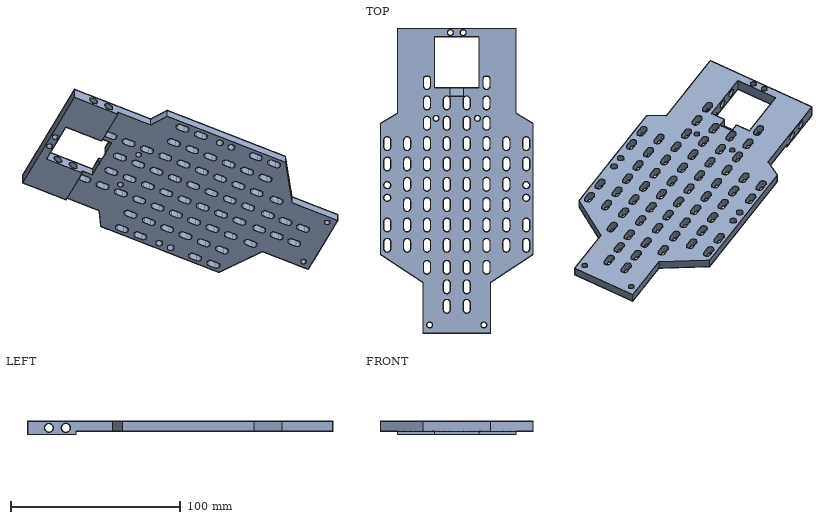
import cadquery as cq

LENGTH = 180.0
MIDDLE_WIDTH = 90.0
HEAD_WIDTH = 70.0
TAIL_WIDTH = 40.0
HEAD_END_Y = LENGTH / 2
TAIL_END_Y = -LENGTH / 2
HEAD_LENGTH = 50.0
HEAD_TAPER_LENGTH = 6.0
TAIL_LENGTH = 30.0
TAIL_TAPER_LENGTH = 16.5

TOTAL_HEIGHT = 8.0
PLATE_THICKNESS = 6.0
PLATE_BOTTOM_Z = TOTAL_HEIGHT - PLATE_THICKNESS
PAD_LENGTH = 28.5

WINDOW_WIDTH = 26.0
WINDOW_LENGTH = 30.0
WINDOW_FRONT_Y = HEAD_END_Y - 5.0
WINDOW_REAR_Y = WINDOW_FRONT_Y - WINDOW_LENGTH
NOTCH_WIDTH = 8.2
NOTCH_FLOOR_LENGTH = 5.0
NOTCH_WALL_HEIGHT = 2.0
NOTCH_WALL_LEAN = 0.3

SLOT_WIDTH = 4.0
SLOT_LENGTH = 8.0
LENGTHWISE_ANGLE = 90
COLUMN_COUNT = 8
EDGE_MARGIN = 4.0
OUTER_COLUMN = MIDDLE_WIDTH / 2 - EDGE_MARGIN
COLUMN_PITCH = 2 * OUTER_COLUMN / (COLUMN_COUNT - 1)
INNER_COLUMN = COLUMN_PITCH / 2
SECOND_COLUMN = INNER_COLUMN + COLUMN_PITCH
THIRD_COLUMN = SECOND_COLUMN + COLUMN_PITCH
ROW_PITCH = 12.0
FIRST_ROW_Y = 58.0
TAIL_FIRST_ROW_Y = -51.0
TAIL_ROW_PITCH = 11.5

MAIN_ROWS = [
    (SECOND_COLUMN,),
    (INNER_COLUMN, SECOND_COLUMN),
    (INNER_COLUMN, SECOND_COLUMN),
    (INNER_COLUMN, SECOND_COLUMN, THIRD_COLUMN, OUTER_COLUMN),
    (INNER_COLUMN, SECOND_COLUMN, THIRD_COLUMN, OUTER_COLUMN),
    (INNER_COLUMN, SECOND_COLUMN, THIRD_COLUMN),
    (INNER_COLUMN, SECOND_COLUMN, THIRD_COLUMN),
    (INNER_COLUMN, SECOND_COLUMN, THIRD_COLUMN, OUTER_COLUMN),
    (INNER_COLUMN, SECOND_COLUMN, THIRD_COLUMN, OUTER_COLUMN),
]
TAIL_ROWS = [
    (INNER_COLUMN, SECOND_COLUMN),
    (INNER_COLUMN,),
    (INNER_COLUMN,),
]

HEAD_HOLE_DIAMETER = 3.4
HEAD_HOLE_X = 3.75
HEAD_HOLE_Y = HEAD_END_Y - 2.5
SMALL_HOLE_DIAMETER = 3.3
MIDDLE_HOLE_X = 12.2
MIDDLE_HOLE_Y = 36.9
TAIL_HOLE_X = 16.0
TAIL_HOLE_Y = TAIL_END_Y + 5.0
EDGE_HOLE_DIAMETER = 4.0
EDGE_HOLE_YS = (-2.5, -10.0)

CROSS_HOLE_Z = TOTAL_HEIGHT / 2
FRONT_CROSS_HOLE_DIAMETER = 5.0
FRONT_CROSS_HOLE_Y = HEAD_END_Y - 12.5
REAR_CROSS_HOLE_DIAMETER = 5.2
REAR_CROSS_HOLE_Y = HEAD_END_Y - 22.5


def make_plate():
    """Flat plate with a wide middle tapering to the head and to the tail."""
    head_base_y = HEAD_END_Y - HEAD_LENGTH
    tail_base_y = TAIL_END_Y + TAIL_LENGTH
    right_side = [
        (TAIL_WIDTH / 2, TAIL_END_Y),
        (TAIL_WIDTH / 2, tail_base_y),
        (MIDDLE_WIDTH / 2, tail_base_y + TAIL_TAPER_LENGTH),
        (MIDDLE_WIDTH / 2, head_base_y - HEAD_TAPER_LENGTH),
        (HEAD_WIDTH / 2, head_base_y),
        (HEAD_WIDTH / 2, HEAD_END_Y),
    ]
    left_side = [(-x, y) for x, y in reversed(right_side)]
    return (
        cq.Workplane("XY", origin=(0, 0, PLATE_BOTTOM_Z))
        .polyline(right_side + left_side)
        .close()
        .extrude(PLATE_THICKNESS)
    )


def make_pad():
    """Full-height block that thickens the end of the head downwards."""
    return (
        cq.Workplane("XY")
        .center(0, HEAD_END_Y - PAD_LENGTH / 2)
        .rect(HEAD_WIDTH, PAD_LENGTH)
        .extrude(TOTAL_HEIGHT)
    )


def make_window():
    """Rectangular opening through the head."""
    return (
        cq.Workplane("XY")
        .center(0, WINDOW_FRONT_Y - WINDOW_LENGTH / 2)
        .rect(WINDOW_WIDTH, WINDOW_LENGTH)
        .extrude(TOTAL_HEIGHT)
    )


def make_notch():
    """Notch with a short, slightly leaning rear wall and a floor falling to the plate bottom."""
    floor_top_y = WINDOW_REAR_Y - NOTCH_FLOOR_LENGTH
    return (
        cq.Workplane("YZ")
        .moveTo(floor_top_y, TOTAL_HEIGHT - NOTCH_WALL_HEIGHT)
        .lineTo(floor_top_y - NOTCH_WALL_LEAN, TOTAL_HEIGHT)
        .lineTo(WINDOW_REAR_Y, TOTAL_HEIGHT)
        .lineTo(WINDOW_REAR_Y, PLATE_BOTTOM_Z)
        .close()
        .extrude(NOTCH_WIDTH / 2, both=True)
    )


def mirrored_points(columns, y):
    """Points at +x and -x for every column in one row."""
    return [(side * x, y) for x in columns for side in (-1, 1)]


def make_slots():
    """All the lengthwise slots, as deep as the plate so that the pad below stays uncut."""
    points = []
    for index, columns in enumerate(MAIN_ROWS):
        points += mirrored_points(columns, FIRST_ROW_Y - index * ROW_PITCH)
    for index, columns in enumerate(TAIL_ROWS):
        points += mirrored_points(columns, TAIL_FIRST_ROW_Y - index * TAIL_ROW_PITCH)
    return (
        cq.Workplane("XY", origin=(0, 0, PLATE_BOTTOM_Z))
        .pushPoints(points)
        .slot2D(SLOT_LENGTH, SLOT_WIDTH, LENGTHWISE_ANGLE)
        .extrude(PLATE_THICKNESS)
    )


def make_hole_pair(x, y, diameter):
    """Two vertical through holes mirrored about X = 0."""
    return (
        cq.Workplane("XY")
        .pushPoints(mirrored_points((x,), y))
        .circle(diameter / 2)
        .extrude(TOTAL_HEIGHT)
    )


def make_cross_hole(y, diameter):
    """Horizontal hole across the full width of the head."""
    return (
        cq.Workplane("YZ")
        .center(y, CROSS_HOLE_Z)
        .circle(diameter / 2)
        .extrude(HEAD_WIDTH / 2, both=True)
    )


result = make_plate().union(make_pad())
result = result.cut(make_window())
result = result.cut(make_notch())
result = result.cut(make_slots())
result = result.cut(make_hole_pair(HEAD_HOLE_X, HEAD_HOLE_Y, HEAD_HOLE_DIAMETER))
result = result.cut(make_hole_pair(MIDDLE_HOLE_X, MIDDLE_HOLE_Y, SMALL_HOLE_DIAMETER))
result = result.cut(make_hole_pair(TAIL_HOLE_X, TAIL_HOLE_Y, SMALL_HOLE_DIAMETER))
for edge_hole_y in EDGE_HOLE_YS:
    result = result.cut(make_hole_pair(OUTER_COLUMN, edge_hole_y, EDGE_HOLE_DIAMETER))
result = result.cut(make_cross_hole(FRONT_CROSS_HOLE_Y, FRONT_CROSS_HOLE_DIAMETER))
result = result.cut(make_cross_hole(REAR_CROSS_HOLE_Y, REAR_CROSS_HOLE_DIAMETER))